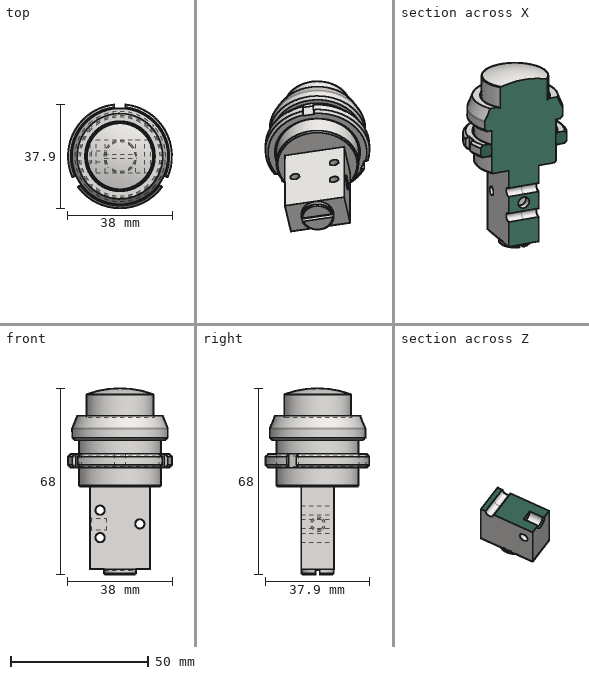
import cadquery as cq
import math

PLUG_HEIGHT = 2.0
BLOCK_HEIGHT = 30.0
BARREL_BOTTOM = PLUG_HEIGHT + BLOCK_HEIGHT
NUT_BOTTOM = BARREL_BOTTOM + 7.0
BEZEL_BOTTOM = BARREL_BOTTOM + 17.0
BEZEL_TOP = BEZEL_BOTTOM + 9.0
TOTAL_HEIGHT = 68.0

BLOCK_LENGTH = 22.0
BLOCK_WIDTH = 12.1
PLUG_DIAMETER = 11.8
PLUG_CHAMFER = 0.5
DRIVER_SLOT_WIDTH = 1.5
DRIVER_SLOT_DEPTH = 1.6

PORT_Z = PLUG_HEIGHT + 16.5
MOUNTING_HOLE_DIAMETER = 3.3
MOUNTING_HOLE_X = 14.5 / 2
MOUNTING_HOLE_PITCH_Z = 10.0
PORT_DIAMETER = 4.13
PORT_MOUTH_DIAMETER = 5.3
PORT_MOUTH_DEPTH = (PORT_MOUTH_DIAMETER - PORT_DIAMETER) / 2
PORT_DEPTH = 6.0

BARREL_RADIUS = 30.0 / 2
BARREL_CHAMFER = (30.0 - 28.92) / 2
BEZEL_RADIUS = 35.0 / 2
BEZEL_TOP_RADIUS = 15.6
BEZEL_CHAMFER = 1.0
BEZEL_CONE_HEIGHT = 4.7
BEZEL_EDGE_FILLET = 1.0
BEZEL_MOUTH_CHAMFER = 0.55

BUTTON_RADIUS = 24.5 / 2
BUTTON_CHAMFER = 0.25
DOME_HEIGHT = 2.15
DOME_BASE_RADIUS = BUTTON_RADIUS - BUTTON_CHAMFER

NUT_RADIUS = 38.0 / 2
NUT_HEIGHT = 5.0
NUT_CHAMFER = 1.0
NUT_BORE_CHAMFER = 0.6
NUT_SLOT_COUNT = 3
NUT_SLOT_WIDTH = 4.0
NUT_SLOT_FLOOR_RADIUS = 17.5


def make_block():
    block = (
        cq.Workplane("XY", origin=(0, 0, PLUG_HEIGHT))
        .rect(BLOCK_LENGTH, BLOCK_WIDTH)
        .extrude(BLOCK_HEIGHT)
    )
    hole_places = [
        (-MOUNTING_HOLE_X, PORT_Z + MOUNTING_HOLE_PITCH_Z / 2),
        (-MOUNTING_HOLE_X, PORT_Z - MOUNTING_HOLE_PITCH_Z / 2),
        (MOUNTING_HOLE_X, PORT_Z),
    ]
    holes = (
        cq.Workplane("XZ")
        .pushPoints(hole_places)
        .circle(MOUNTING_HOLE_DIAMETER / 2)
        .extrude(BLOCK_WIDTH, both=True)
    )
    return block.cut(holes).cut(make_port())


def make_port():
    """Blind port drilled from the -X face, with a countersunk mouth."""
    face_x = -BLOCK_LENGTH / 2
    return (
        cq.Workplane("XY")
        .moveTo(face_x, 0)
        .lineTo(face_x, PORT_MOUTH_DIAMETER / 2)
        .lineTo(face_x + PORT_MOUTH_DEPTH, PORT_DIAMETER / 2)
        .lineTo(face_x + PORT_DEPTH, PORT_DIAMETER / 2)
        .lineTo(face_x + PORT_DEPTH, 0)
        .close()
        .revolve(360, (0, 0, 0), (1, 0, 0))
        .translate((0, 0, PORT_Z))
    )


def make_end_plug():
    plug = (
        cq.Workplane("XY")
        .circle(PLUG_DIAMETER / 2)
        .extrude(PLUG_HEIGHT)
        .faces("<Z")
        .chamfer(PLUG_CHAMFER)
    )
    driver_slot = cq.Workplane("XY").box(
        PLUG_DIAMETER, DRIVER_SLOT_WIDTH, DRIVER_SLOT_DEPTH, centered=(True, True, False)
    )
    return plug.cut(driver_slot)


def make_barrel():
    return (
        cq.Workplane("XY", origin=(0, 0, BARREL_BOTTOM))
        .circle(BARREL_RADIUS)
        .extrude(BEZEL_BOTTOM - BARREL_BOTTOM)
        .faces("<Z")
        .chamfer(BARREL_CHAMFER)
    )


def make_bezel():
    """Tapered bezel, countersunk where the button comes out of it."""
    cone_bottom = BEZEL_TOP - BEZEL_CONE_HEIGHT
    bezel = (
        cq.Workplane("XZ")
        .moveTo(0, BEZEL_BOTTOM)
        .lineTo(BEZEL_RADIUS - BEZEL_CHAMFER, BEZEL_BOTTOM)
        .lineTo(BEZEL_RADIUS, BEZEL_BOTTOM + BEZEL_CHAMFER)
        .lineTo(BEZEL_RADIUS, cone_bottom)
        .lineTo(BEZEL_TOP_RADIUS, BEZEL_TOP)
        .lineTo(BUTTON_RADIUS + BEZEL_MOUTH_CHAMFER, BEZEL_TOP)
        .lineTo(BUTTON_RADIUS, BEZEL_TOP - BEZEL_MOUTH_CHAMFER)
        .lineTo(0, BEZEL_TOP - BEZEL_MOUTH_CHAMFER)
        .close()
        .revolve(360, (0, 0, 0), (0, 1, 0))
    )
    cone_edge = cq.selectors.BoxSelector(
        (-NUT_RADIUS, -NUT_RADIUS, cone_bottom - BEZEL_EDGE_FILLET / 2),
        (NUT_RADIUS, NUT_RADIUS, cone_bottom + BEZEL_EDGE_FILLET / 2),
    )
    return bezel.edges("%CIRCLE").edges(cone_edge).fillet(BEZEL_EDGE_FILLET)


def make_button():
    """Push button with a spherical top above a narrow chamfer."""
    dome_bottom = TOTAL_HEIGHT - DOME_HEIGHT
    dome_radius = (DOME_BASE_RADIUS**2 + DOME_HEIGHT**2) / (2 * DOME_HEIGHT)
    half_radius = DOME_BASE_RADIUS / 2
    half_drop = dome_radius - math.sqrt(dome_radius**2 - half_radius**2)
    return (
        cq.Workplane("XZ")
        .moveTo(0, BEZEL_BOTTOM)
        .lineTo(BUTTON_RADIUS, BEZEL_BOTTOM)
        .lineTo(BUTTON_RADIUS, dome_bottom - BUTTON_CHAMFER)
        .lineTo(DOME_BASE_RADIUS, dome_bottom)
        .threePointArc((half_radius, TOTAL_HEIGHT - half_drop), (0, TOTAL_HEIGHT))
        .close()
        .revolve(360, (0, 0, 0), (0, 1, 0))
    )


def make_valve():
    return (
        make_block()
        .union(make_end_plug())
        .union(make_barrel())
        .union(make_bezel())
        .union(make_button())
    )


def make_ring_nut():
    """Ring nut on the barrel, with wrench slots spread evenly around its rim."""
    nut = (
        cq.Workplane("XY")
        .circle(NUT_RADIUS)
        .extrude(NUT_HEIGHT)
        .edges()
        .chamfer(NUT_CHAMFER)
    )
    bore = cq.Workplane("XY").circle(BARREL_RADIUS).extrude(NUT_HEIGHT)
    bore_edges = cq.selectors.RadiusNthSelector(0)
    nut = nut.cut(bore).edges("%CIRCLE").edges(bore_edges).chamfer(NUT_BORE_CHAMFER)
    slot = cq.Workplane("XY").box(
        NUT_SLOT_WIDTH, NUT_RADIUS, NUT_HEIGHT, centered=(True, False, False)
    ).translate((0, NUT_SLOT_FLOOR_RADIUS, 0))
    for index in range(NUT_SLOT_COUNT):
        nut = nut.cut(slot.rotate((0, 0, 0), (0, 0, 1), index * 360 / NUT_SLOT_COUNT))
    return nut.translate((0, 0, NUT_BOTTOM))


valve = make_valve()
ring_nut = make_ring_nut()

result = cq.Compound.makeCompound([valve.val(), ring_nut.val()])